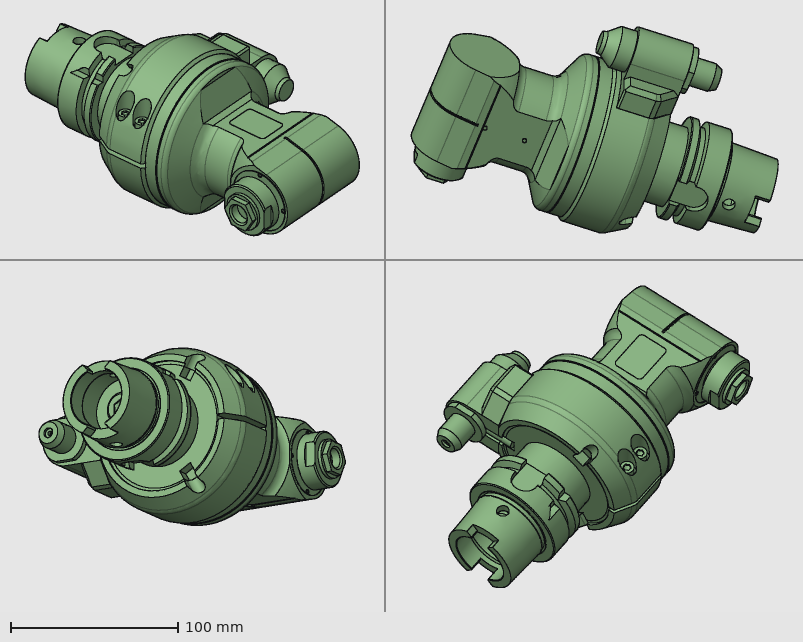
import cadquery as cq
import math


taper_end_radius = 23.2
taper_root_radius = 24.5
taper_length = 29.5
relief_radius = 23.8
relief_outer_radius = 25.3
relief_depth = 0.6
flange_start = 32.0
flange_radius = 31.7
flange_chamfer = 0.6
groove_radius = 27.7
groove_front = 46.8
groove_floor_start = 48.0
groove_floor_end = 51.0
groove_back = 53.0
flange_end = 58.0
collar_radius = 25.0
shank_bore_radius = 17.5
shank_bore_depth = 32.0
shank_bore_chamfer = 0.5
shank_land_end = 12.8
shank_cone_end = 15.3
shank_chamber_radius = 19.0
cross_hole_diameter = 7.5
cross_hole_x = 23.0
drive_slot_width = 12.5
drive_slot_mouth = 19.2
drive_slot_flare_start = 17.9
drive_slot_flare_end = 21.0
drive_slot_depths = {1: 6.0, -1: 9.4}
keyway_width = 16.6
keyway_start = 36.8
keyway_floor = 26.2
corner_notch = 20.0
corner_notch_start = 36.6
corner_notch_ramp = 7.0
bolt_radius = 10.0
bolt_height = 3.8
bolt_chamfer = 1.5
bolt_hex = 10.5
bolt_hex_depth = 0.6

socket_floor_angle = 30.0

ring_start = 75.2
ring_end = 115.0
ring_radius = 51.0
ring_face_radius = 44.0
ring_cone_end = 85.4
ring_cone_radius = 49.6
ring_rim_start = 89.2
ring_back_chamfer = 2.0
ring_bore_radius = 38.1
ring_recess_radius = 40.0
split_width = 3.2
radial_slot_width = 8.5
radial_slot_angles = (0, 120, 240)

arm_seat = 42.2
arm_end = 109.9
arm_half_width = 15.3
arm_tip = 81.45
shoulder_half_width = 29.0
shoulder_top = 57.7
shoulder_ramp_end = 86.0
shoulder_ramp_half_width = 27.7
shoulder_round_end = 89.5
shoulder_back_chamfer = 1.3
shoulder_top_chamfer = 3.0

screw_positions = (92.6, 105.6)
screw_y = -40.7
screw_head_diameter = 8.5
screw_head_height = 5.0
screw_head_top = 24.0
screw_shaft_diameter = 5.0
screw_tip_z = -15.0
screw_hex = 5.0
screw_hex_depth = 1.0
screw_pocket_diameter = 11.0

boss_face = 76.7
dome_radius = 49.0
dome_groove_x = 123.0
dome_groove_width = 0.6
dome_groove_depth = 0.5
dome_round_start = 127.3
cone_start = 131.0
cone_start_radius = 47.3
cone_end = 138.2
cone_end_radius = 35.0
neck_start = 145.6
neck_end = 163.0
neck_radius = 30.0
flare_start = 168.6
flare_start_radius = 34.0
flare_middle = 176.7
flare_middle_radius = 38.1
flare_end = 188.5
flare_end_radius = 41.5
flat_height = 24.7
flat_ramp_start_height = 44.5
flat_ramp_end_height = 26.6
flat_start = 142.0
plate_center_x = 160.5
plate_length = 27.3
plate_width = 20.0
plate_corner_radius = 2.5
plate_depth = 0.2
button_positions = (153.0, 178.2)
button_diameter = 2.5
button_height = 0.9

total_length = 213.0
nose_radius = 22.1
head_half_width = 33.6
slope_start = 184.2
slit_start = 182.7
slit_width = 1.3
slit_depth = 1.0
seam_x = 179.0
seam_width = 0.6
seam_depth = 0.2
cap_radius = 20.0
cap_depth = 0.6
cap_hole_count = 4
cap_hole_circle = 18.0
cap_hole_diameter = 2.5
nut_gap_end = 35.5
nut_neck_radius = 12.3
nut_flat_start = 40.9
nut_flat_distance = 15.3
nut_body_end = 47.3
nut_body_radius = 17.0
nut_chamfer = 0.9
nut_step_end = 49.5
nut_step_radius = 12.0
nut_hex = 21.7
nut_hex_end = 52.9
nut_bore_diameter = 12.0
nut_bore_depth = 6.4
nut_bore_chamfer = 1.0

pin_y = 65.8
pin_start = 53.9
pin_tip_chamfer = 2.1
pin_tip_length = 4.3
pin_radius = 8.7
pin_hole_diameter = 6.0
pin_hole_depth = 1.7
pin_bore_diameter = 2.5
pin_bore_depth = 4.3
pin_collar_start = 71.3
pin_collar_radius = 14.3
pin_collar_flat = 13.0
pin_cap_radius = 12.88
pin_cap_end = 119.5
pin_cone_end = 126.7
pin_cone_end_radius = 7.5
pin_end_radius = 6.8
pin_end = 129.2
lock_arm_diameter = 8.0
lock_arm_end_y = 33.5

nose_x = total_length - nose_radius
radial_slot_x = ring_start + radial_slot_width / 2
screw_head_bottom = screw_head_top - screw_head_height
arm_tip_center = arm_tip - arm_half_width
far = 3 * ring_radius


def revolve_about_x(profile):
    """Turn a profile drawn in the XY plane about the X axis."""
    return profile.close().revolve(360, (0, 0, 0), (1, 0, 0))


def cylinder_x(diameter, start, end, y=0.0):
    return cq.Workplane("YZ", origin=(start, y, 0)).circle(diameter / 2).extrude(end - start)


def cylinder_y(diameter, start, end, x):
    return cq.Workplane("XZ", origin=(x, start, 0)).circle(diameter / 2).extrude(start - end)


def cylinder_z(diameter, bottom, top, x, y=0.0):
    return cq.Workplane("XY", origin=(x, y, bottom)).circle(diameter / 2).extrude(top - bottom)


def block(x_range, y_range, z_range):
    """A box between two limits on each axis."""
    limits = (x_range, y_range, z_range)
    sizes = [high - low for low, high in limits]
    corner = tuple(low for low, high in limits)
    return cq.Workplane("XY", origin=corner).box(*sizes, centered=False)


def make_hex_socket(diameter, depth):
    """Hexagonal socket with a conical floor, sunk from the origin toward -Z."""
    cone_depth = diameter / 2 * math.tan(math.radians(socket_floor_angle))
    hexagon = cq.Workplane("XY").polygon(6, diameter).extrude(-depth - cone_depth)
    floor = (
        cq.Workplane("XZ")
        .lineTo(diameter / 2, 0)
        .lineTo(diameter / 2, -depth)
        .lineTo(0, -depth - cone_depth)
        .close()
        .revolve(360, (0, 0, 0), (0, 1, 0))
    )
    return hexagon.intersect(floor)


def make_shank():
    shank = revolve_about_x(
        cq.Workplane("XY")
        .lineTo(0, taper_end_radius)
        .lineTo(taper_length, taper_root_radius)
        .lineTo(taper_length, relief_radius)
        .lineTo(flange_start + relief_depth, relief_radius)
        .lineTo(flange_start + relief_depth, relief_outer_radius)
        .lineTo(flange_start, relief_outer_radius)
        .lineTo(flange_start, flange_radius - flange_chamfer)
        .lineTo(flange_start + flange_chamfer, flange_radius)
        .lineTo(groove_front, flange_radius)
        .lineTo(groove_floor_start, groove_radius)
        .lineTo(groove_floor_end, groove_radius)
        .lineTo(groove_back, flange_radius)
        .lineTo(flange_end - flange_chamfer, flange_radius)
        .lineTo(flange_end, flange_radius - flange_chamfer)
        .lineTo(flange_end, collar_radius)
        .lineTo(boss_face, collar_radius)
        .lineTo(boss_face, 0)
    )
    shank = shank.cut(make_shank_bore())
    shank = shank.cut(cylinder_z(cross_hole_diameter, -far, far, cross_hole_x))
    for side in (1, -1):
        shank = shank.cut(make_drive_slot(side)).cut(make_keyway(side))
    return shank.cut(make_corner_notch()).union(make_bolt())


def make_shank_bore():
    """Bore with a narrow land at the mouth and a wider chamber behind a clamping cone."""
    return revolve_about_x(
        cq.Workplane("XY")
        .lineTo(0, shank_bore_radius + shank_bore_chamfer)
        .lineTo(shank_bore_chamfer, shank_bore_radius)
        .lineTo(shank_land_end, shank_bore_radius)
        .lineTo(shank_cone_end, shank_chamber_radius)
        .lineTo(shank_bore_depth, shank_chamber_radius)
        .lineTo(shank_bore_depth, 0)
    )


def make_drive_slot(side):
    """Slot in the shank's open end, flared where it reaches the outside of the taper."""
    half_width = drive_slot_width / 2
    half_mouth = drive_slot_mouth / 2
    return (
        cq.Workplane("YZ")
        .moveTo(-half_width, 0)
        .lineTo(-half_width, side * drive_slot_flare_start)
        .lineTo(-half_mouth, side * drive_slot_flare_end)
        .lineTo(-half_mouth, side * flange_radius)
        .lineTo(half_mouth, side * flange_radius)
        .lineTo(half_mouth, side * drive_slot_flare_end)
        .lineTo(half_width, side * drive_slot_flare_start)
        .lineTo(half_width, 0)
        .close()
        .extrude(drive_slot_depths[side])
    )


def make_keyway(side):
    """Round-ended keyway across the flange."""
    radius = keyway_width / 2
    return (
        cq.Workplane("XY", origin=(0, 0, side * keyway_floor))
        .moveTo(flange_end, radius)
        .lineTo(keyway_start + radius, radius)
        .threePointArc((keyway_start, 0), (keyway_start + radius, -radius))
        .lineTo(flange_end, -radius)
        .close()
        .extrude(side * flange_radius)
    )


def make_corner_notch():
    """Square notch in the -Y, +Z corner of the flange, with a ramped end."""
    notch_top = math.sqrt(flange_radius**2 - corner_notch**2)
    return (
        cq.Workplane("XZ", origin=(0, -corner_notch, 0))
        .moveTo(corner_notch_start, corner_notch)
        .lineTo(corner_notch_start + corner_notch_ramp, notch_top)
        .lineTo(corner_notch_start + corner_notch_ramp, flange_radius)
        .lineTo(flange_end, flange_radius)
        .lineTo(flange_end, corner_notch)
        .close()
        .extrude(flange_radius)
    )


def make_bolt():
    """Draw bolt head with a hex socket, on the floor of the shank bore."""
    bolt_face = shank_bore_depth - bolt_height
    bolt = cylinder_x(2 * bolt_radius, bolt_face, shank_bore_depth).faces("<X").chamfer(bolt_chamfer)
    socket = make_hex_socket(bolt_hex, bolt_hex_depth).rotate((0, 0, 0), (0, 1, 0), -90)
    return bolt.cut(socket.translate((bolt_face, 0, 0)))


def make_housing():
    housing = make_turned_housing().intersect(make_side_outline()).intersect(make_width_limit())
    for angle in radial_slot_angles:
        housing = housing.cut(make_boss_slot(angle))
    housing = housing.cut(make_plate_recess()).cut(make_slit()).cut(make_cap_recess())
    for side in (1, -1):
        housing = housing.cut(make_seam(side))
    for x in button_positions:
        housing = housing.union(cylinder_z(button_diameter, -flat_height - button_height, -flat_height, x))
    return housing


def make_turned_housing():
    cone_slope = math.atan2(cone_start_radius - cone_end_radius, cone_end - cone_start)
    cone_direction = (math.cos(cone_slope), -math.sin(cone_slope))
    return revolve_about_x(
        cq.Workplane("XY")
        .moveTo(boss_face, 0)
        .lineTo(boss_face, ring_bore_radius)
        .lineTo(ring_end, ring_bore_radius)
        .lineTo(ring_end, dome_radius)
        .lineTo(dome_groove_x, dome_radius)
        .lineTo(dome_groove_x, dome_radius - dome_groove_depth)
        .lineTo(dome_groove_x + dome_groove_width, dome_radius - dome_groove_depth)
        .lineTo(dome_groove_x + dome_groove_width, dome_radius)
        .lineTo(dome_round_start, dome_radius)
        .tangentArcPoint((cone_start, cone_start_radius), relative=False)
        .lineTo(cone_end, cone_end_radius)
        .spline([(neck_start, neck_radius)], tangents=[cone_direction, (1, 0)], includeCurrent=True)
        .lineTo(neck_end, neck_radius)
        .tangentArcPoint((flare_start, flare_start_radius), relative=False)
        .threePointArc((flare_middle, flare_middle_radius), (flare_end, flare_end_radius))
        .lineTo(total_length, flare_end_radius)
        .lineTo(total_length, 0)
    )


def draw_side_outline():
    """Outline in the XZ plane: flats on both sides of the neck, sloping into the round nose."""
    half_angle = math.atan2(flat_height, nose_x - slope_start)
    reach = math.hypot(flat_height, nose_x - slope_start)
    tangent_angle = math.pi - half_angle - math.acos(nose_radius / reach)
    tangent_x = nose_x + nose_radius * math.cos(tangent_angle)
    tangent_z = nose_radius * math.sin(tangent_angle)
    return (
        cq.Workplane("XZ", origin=(0, far, 0))
        .moveTo(boss_face, -far)
        .lineTo(boss_face, far)
        .lineTo(cone_start, far)
        .lineTo(cone_start, flat_ramp_start_height)
        .lineTo(cone_end, flat_ramp_end_height)
        .lineTo(flat_start, flat_height)
        .lineTo(slope_start, flat_height)
        .lineTo(tangent_x, tangent_z)
        .threePointArc((total_length, 0), (tangent_x, -tangent_z))
        .lineTo(slope_start, -flat_height)
        .lineTo(flat_start, -flat_height)
        .lineTo(cone_end, -flat_ramp_end_height)
        .lineTo(cone_start, -flat_ramp_start_height)
        .lineTo(cone_start, -far)
        .close()
    )


def make_side_outline():
    return draw_side_outline().extrude(2 * far)


def make_width_limit():
    """Plane ends of the output part; the dome and neck are not limited."""
    dome_space = block((boss_face, neck_start), (-far, far), (-far, far))
    end_space = block((neck_start, total_length), (-head_half_width, head_half_width), (-far, far))
    return dome_space.union(end_space)


def make_boss_slot(angle):
    """Flat-bottomed slot in the boss face, in line with a slot in the clamp ring."""
    half_width = radial_slot_width / 2
    slot = block(
        (boss_face, ring_start + radial_slot_width),
        (flange_radius, ring_bore_radius + 2.1),
        (-half_width, half_width),
    )
    return slot.rotate((0, 0, 0), (1, 0, 0), angle)


def make_plate_recess():
    """Shallow rounded rectangle in the upper flat."""
    return (
        cq.Workplane("XY", origin=(plate_center_x, 0, flat_height - plate_depth))
        .rect(plate_length, plate_width)
        .extrude(plate_depth)
        .edges("|Z")
        .fillet(plate_corner_radius)
    )


def make_slit():
    """Narrow groove round the middle of the nose."""
    layer = block((slit_start, total_length), (-slit_width / 2, slit_width / 2), (-far, far))
    core = draw_side_outline().offset2D(-slit_depth).extrude(2 * far)
    return layer.cut(core)


def make_seam(side):
    """Shallow groove across a flat, between the neck and the nose."""
    depth_range = sorted((side * (flat_height - seam_depth), side * far))
    return block((seam_x, seam_x + seam_width), (-far, far), depth_range)


def make_cap_recess():
    """Bearing cap on the -Y end: a shallow round recess with pin holes."""
    recess = cylinder_y(2 * cap_radius, -head_half_width + cap_depth, -head_half_width, nose_x)
    holes = (
        cq.Workplane("XZ", origin=(nose_x, -head_half_width + 2 * cap_depth, 0))
        .polarArray(cap_hole_circle, 0, 360, cap_hole_count)
        .circle(cap_hole_diameter / 2)
        .extrude(2 * cap_depth)
    )
    return recess.union(holes)


def make_spindle():
    neck = cylinder_y(2 * nut_neck_radius, -head_half_width + cap_depth, -nut_gap_end, nose_x)
    body = cylinder_y(2 * nut_body_radius, -nut_gap_end, -nut_body_end, nose_x)
    body = body.faces("<Y").chamfer(nut_chamfer)
    for side in (1, -1):
        flat_range = sorted((nose_x + side * nut_flat_distance, nose_x + side * far))
        body = body.cut(block(flat_range, (-nut_body_end, -nut_flat_start), (-far, far)))
    step = cylinder_y(2 * nut_step_radius, -nut_body_end, -nut_step_end, nose_x)
    hexagon = (
        cq.Workplane("XZ", origin=(nose_x, -nut_step_end, 0))
        .polygon(6, nut_hex)
        .extrude(nut_hex_end - nut_step_end)
    )
    bore = cylinder_y(nut_bore_diameter, -nut_hex_end + nut_bore_depth, -nut_hex_end, nose_x)
    spindle = neck.union(body).union(step).union(hexagon).cut(bore)
    bore_edge = cq.selectors.RadiusNthSelector(0)
    return spindle.faces("<Y").edges(bore_edge).chamfer(nut_bore_chamfer)


def make_head():
    return make_shank().union(make_housing()).union(make_spindle())


def make_ring():
    ring = make_ring_blank().cut(make_arm_seat())
    ring = ring.cut(make_ring_bore())
    ring = ring.cut(block((ring_start, ring_end), (-far, 0), (-split_width / 2, split_width / 2)))
    for angle in radial_slot_angles:
        ring = ring.cut(make_radial_slot(angle))
    for x in screw_positions:
        ring = ring.cut(cylinder_z(screw_pocket_diameter, screw_head_bottom, far, x, screw_y))
        ring = ring.cut(cylinder_z(screw_shaft_diameter, screw_tip_z, screw_head_bottom, x, screw_y))
    return ring


def make_ring_blank():
    return revolve_about_x(
        cq.Workplane("XY")
        .moveTo(ring_start, 0)
        .lineTo(ring_start, ring_face_radius)
        .lineTo(ring_cone_end, ring_cone_radius)
        .spline(
            [(ring_rim_start, ring_radius)],
            tangents=[(ring_cone_end - ring_start, ring_cone_radius - ring_face_radius), (1, 0)],
            includeCurrent=True,
        )
        .lineTo(ring_end - ring_back_chamfer, ring_radius)
        .lineTo(ring_end, ring_radius - ring_back_chamfer)
        .lineTo(ring_end, 0)
    )


def make_ring_bore():
    return revolve_about_x(
        cq.Workplane("XY")
        .moveTo(ring_start, 0)
        .lineTo(ring_start, ring_recess_radius)
        .lineTo(boss_face, ring_recess_radius)
        .lineTo(boss_face, ring_bore_radius)
        .lineTo(ring_end, ring_bore_radius)
        .lineTo(ring_end, 0)
    )


def make_arm_seat():
    """Space above the flat seat of the torque arm."""
    return block((ring_start, arm_end), (arm_seat, far), (-far, far))


def make_radial_slot(angle):
    """Round-bottomed slot in the ring face; the one on +Y takes the lock arm."""
    half_width = radial_slot_width / 2
    channel = block((ring_start, radial_slot_x), (flange_radius, ring_radius), (-half_width, half_width))
    bottom = cylinder_y(radial_slot_width, ring_radius, flange_radius, radial_slot_x)
    return channel.union(bottom).rotate((0, 0, 0), (1, 0, 0), angle)


def make_screw(x):
    """Socket-head screw along Z that closes the split of the clamp ring."""
    head = cylinder_z(screw_head_diameter, screw_head_bottom, screw_head_top, x, screw_y)
    shaft = cylinder_z(screw_shaft_diameter, screw_tip_z, screw_head_bottom, x, screw_y)
    socket = make_hex_socket(screw_hex, screw_hex_depth).translate((x, screw_y, screw_head_top))
    return head.union(shaft).cut(socket)


def make_shoulders():
    """Wide foot of the torque arm, narrowed toward the ring face and chamfered along its top."""
    return (
        cq.Workplane("XZ", origin=(0, arm_seat, 0))
        .moveTo(ring_start, -arm_half_width)
        .lineTo(ring_start, arm_half_width)
        .lineTo(shoulder_ramp_end, shoulder_ramp_half_width)
        .lineTo(shoulder_round_end, shoulder_half_width)
        .lineTo(arm_end, shoulder_half_width)
        .lineTo(arm_end, -shoulder_half_width)
        .lineTo(shoulder_round_end, -shoulder_half_width)
        .lineTo(shoulder_ramp_end, -shoulder_ramp_half_width)
        .close()
        .extrude(arm_seat - shoulder_top)
        .faces(">Y")
        .chamfer(shoulder_top_chamfer)
        .edges("|Y and >X")
        .chamfer(shoulder_back_chamfer)
    )


def make_pin_holder():
    """Round-ended block around the locating pin."""
    return (
        cq.Workplane("YZ", origin=(ring_start, 0, 0))
        .moveTo(arm_seat, -arm_half_width)
        .lineTo(arm_tip_center, -arm_half_width)
        .threePointArc((arm_tip, 0), (arm_tip_center, arm_half_width))
        .lineTo(arm_seat, arm_half_width)
        .close()
        .extrude(arm_end - ring_start)
    )


def make_pin():
    """Locating pin along X, with a radial lock arm that reaches into the head."""
    turned = revolve_about_x(
        cq.Workplane("XY")
        .moveTo(pin_start, 0)
        .lineTo(pin_start, pin_radius - pin_tip_chamfer)
        .lineTo(pin_start + pin_tip_length, pin_radius)
        .lineTo(pin_collar_start, pin_radius)
        .lineTo(pin_collar_start, pin_collar_radius)
        .lineTo(ring_start, pin_collar_radius)
        .lineTo(ring_start, pin_cap_radius)
        .lineTo(pin_cap_end, pin_cap_radius)
        .lineTo(pin_cone_end, pin_cone_end_radius)
        .lineTo(pin_end, pin_end_radius)
        .lineTo(pin_end, 0)
    )
    flats = block((pin_start, pin_end), (-far, far), (-pin_collar_flat, pin_collar_flat))
    turned = turned.intersect(flats).translate((0, pin_y, 0))
    turned = turned.cut(cylinder_x(pin_hole_diameter, pin_start, pin_start + pin_hole_depth, pin_y))
    turned = turned.cut(cylinder_x(pin_bore_diameter, pin_start, pin_start + pin_bore_depth, pin_y))
    return turned.union(cylinder_y(lock_arm_diameter, pin_y, lock_arm_end_y, radial_slot_x))


def make_torque_arm():
    """Arm with an open slot in its face, where the lock arm of the pin lies."""
    half_slot = lock_arm_diameter / 2
    slot = block((ring_start, radial_slot_x), (arm_seat, pin_y), (-half_slot, half_slot))
    return make_shoulders().union(make_pin_holder()).cut(slot).union(make_pin())


head = make_head()
ring = make_ring()
screws = [make_screw(x).val() for x in screw_positions]
torque_arm = make_torque_arm()

result = cq.Compound.makeCompound([head.val(), ring.val(), *screws, torque_arm.val()])